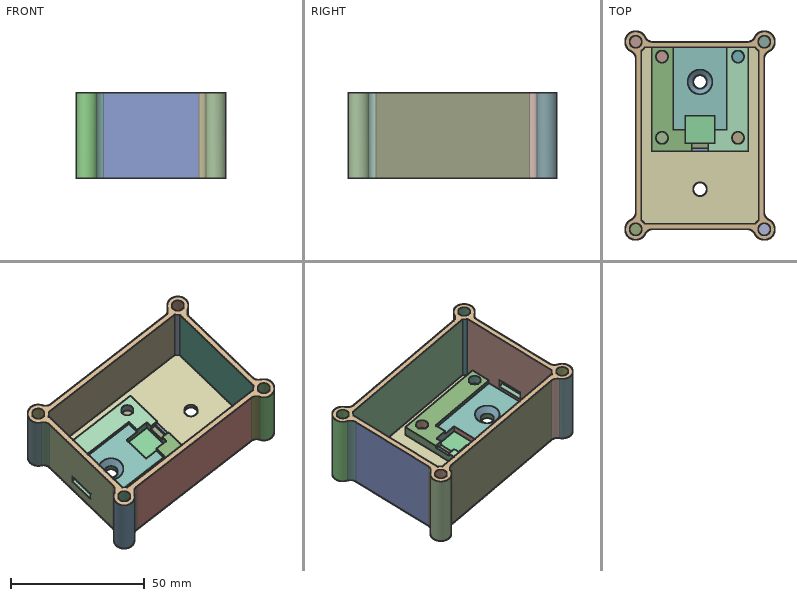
import cadquery as cq
import math

length = 78.0
width = 56.0
height = 32.0
wall = 2.1
floor_thickness = 2.0

post_radius = 4.0
post_fillet = 3.0
screw_hole_diameter = 4.5
post_hole_depth = 20.0
box_x = width - 2 * post_radius
box_y = length - 2 * post_radius
inner_x = box_x - 2 * wall
inner_y = box_y - 2 * wall
inner_back = inner_y / 2

platform_width = 36.2
platform_front = -5.9
platform_top = 6.1
platform_hole_spacing = 28.4
platform_hole_rows = (-0.85, 29.5)
platform_hole_depth = platform_top - floor_thickness

recess_width = 20.1
recess_front = 2.1
recess_depth = 1.5
pit_width = 10.85
pit_front = -2.8
pit_back = 7.3
pit_depth = platform_top - floor_thickness
slot_width = 6.3
slot_step = -4.8
slot_inner_depth = 2.0
slot_outer_depth = 1.0

window_width = 10.3
window_height = 3.5

mount_hole_diameter = 5.0
mount_hole_offset = 20.05
countersink_diameter = 9.2
countersink_angle = 90


def block(size_x, y_min, y_max, z_min, z_max):
    """Block centred on X, spanning the given Y and Z ranges."""
    return (
        cq.Workplane("XY", origin=(0, (y_min + y_max) / 2, z_min))
        .rect(size_x, y_max - y_min)
        .extrude(z_max - z_min)
    )


def holes(points, diameter, z_min, z_max):
    """Vertical cylinders used as cutters."""
    return (
        cq.Workplane("XY", origin=(0, 0, z_min))
        .pushPoints(points)
        .circle(diameter / 2)
        .extrude(z_max - z_min)
    )


post_centres = [(sx * box_x / 2, sy * box_y / 2) for sx in (-1, 1) for sy in (-1, 1)]


def post_webs():
    """Concave fillets between each post and the two outer walls it meets."""
    reach = math.sqrt((post_radius + post_fillet) ** 2 - post_fillet**2)
    touch = post_radius / (post_radius + post_fillet)
    mid_angle = (math.atan2(post_fillet, reach) + math.pi + 1.5 * math.pi) / 2
    mid_along = reach + post_fillet * math.cos(mid_angle)
    mid_out = post_fillet + post_fillet * math.sin(mid_angle)
    profile = [(0, 0), (reach * touch, post_fillet * touch), (mid_along, mid_out), (reach, 0)]

    webs = cq.Workplane("XY")
    for x, y in post_centres:
        side_x = math.copysign(1, x)
        side_y = math.copysign(1, y)
        along_x = [(x - side_x * a, y + side_y * b) for a, b in profile]
        along_y = [(x + side_x * b, y - side_y * a) for a, b in profile]
        for corner, post_tangent, middle, wall_tangent in (along_x, along_y):
            web = (
                cq.Workplane("XY")
                .moveTo(*corner)
                .lineTo(*post_tangent)
                .threePointArc(middle, wall_tangent)
                .close()
                .extrude(height)
            )
            webs = webs.add(web)
    return webs.combine()


shell = block(box_x, -box_y / 2, box_y / 2, 0, height)
shell = shell.cut(block(inner_x, -inner_back, inner_back, floor_thickness, height))
shell = shell.union(holes(post_centres, 2 * post_radius, 0, height))
shell = shell.union(post_webs())
shell = shell.cut(holes(post_centres, screw_hole_diameter, height - post_hole_depth, height))

platform = block(platform_width, platform_front, inner_back, 0, platform_top)
body = shell.union(platform)
platform_holes = [(s * platform_hole_spacing / 2, y) for s in (-1, 1) for y in platform_hole_rows]
body = body.cut(
    holes(platform_holes, screw_hole_diameter, platform_top - platform_hole_depth, platform_top)
)

recess_floor = platform_top - recess_depth
body = body.cut(block(recess_width, recess_front, inner_back, recess_floor, platform_top))
body = body.cut(block(pit_width, pit_front, pit_back, platform_top - pit_depth, platform_top))
slot_inner_floor = platform_top - slot_inner_depth
slot_outer_floor = platform_top - slot_outer_depth
body = body.cut(block(slot_width, slot_step, pit_front, slot_inner_floor, platform_top))
body = body.cut(block(slot_width, platform_front, slot_step, slot_outer_floor, platform_top))

body = body.cut(
    block(window_width, inner_back, box_y / 2, platform_top, platform_top + window_height)
)

mount_holes = [(0, mount_hole_offset), (0, -mount_hole_offset)]
body = body.cut(holes(mount_holes, mount_hole_diameter, 0, platform_top))
result = (
    body.copyWorkplane(cq.Workplane("XY", origin=(0, mount_hole_offset, recess_floor)))
    .cskHole(mount_hole_diameter, countersink_diameter, countersink_angle)
)